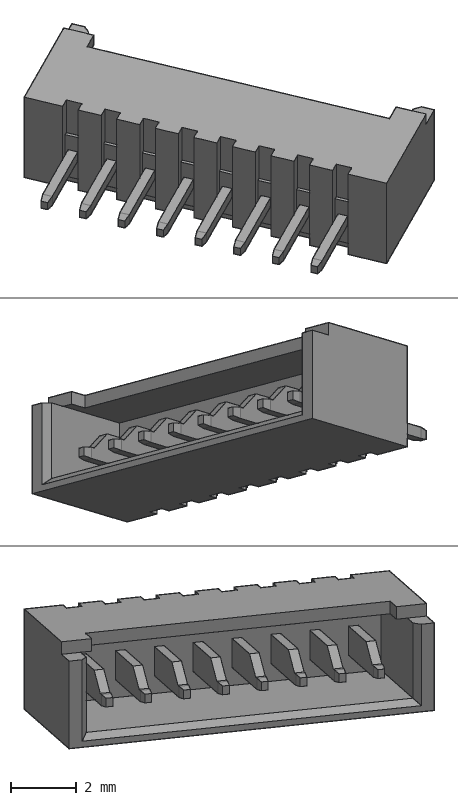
import cadquery as cq

PIN_COUNT = 8
PITCH = 1.25
HOUSING_LENGTH = 11.75
HOUSING_DEPTH = 4.2
HOUSING_HEIGHT = 3.2

WALL = 0.4
END_WALL = 0.62
BACK_WALL = 1.0
MOUTH_CHAMFER = 0.2

STEP_DEPTH = 0.72
NOTCH_DEPTH = 1.3
NOTCH_LENGTH = 9.8

GROOVE_WIDTH = 0.5
GROOVE_DEPTH = 0.32
PAD_RAISE = 0.1
PAD_BOTTOM = 0.25
PAD_TOP = 1.9

PIN_WIDTH = 0.31
PIN_HEIGHT = 0.36
PIN_AXIS_Z = 1.15
TAIL_LENGTH = 2.3
PIN_RECESS = 0.6
TIP_LENGTH = 0.28
TIP_WIDTH = 0.22
TIP_HEIGHT = 0.28
SHOULDER_RECESS = 1.0

PIN_TOP = PIN_AXIS_Z + PIN_HEIGHT / 2
CAVITY_LENGTH = HOUSING_LENGTH - 2 * END_WALL
CAVITY_TOP = HOUSING_HEIGHT - WALL
PIN_XS = [(i - (PIN_COUNT - 1) / 2) * PITCH for i in range(PIN_COUNT)]


def block(length, y_range, z_range, x_center=0.0):
    """Box centred on x_center that fills the given Y and Z ranges."""
    y_min, y_max = y_range
    z_min, z_max = z_range
    box = cq.Workplane("XY").box(length, y_max - y_min, z_max - z_min, centered=(True, False, False))
    return box.translate((x_center, y_min, z_min))


def mouth_flare():
    """Tapered cutter that chamfers the floor and end walls of the cavity at the mouth."""
    height = CAVITY_TOP - WALL
    return (
        cq.Workplane("XZ", origin=(0, HOUSING_DEPTH, (CAVITY_TOP + WALL) / 2))
        .rect(CAVITY_LENGTH + 2 * MOUTH_CHAMFER, height + 2 * MOUTH_CHAMFER)
        .workplane(offset=MOUTH_CHAMFER)
        .rect(CAVITY_LENGTH, height)
        .loft(combine=True)
    )


def make_housing():
    """Shell with an open mating cavity, a stepped and notched upper wall and rear grooves."""
    housing = block(HOUSING_LENGTH, (0, HOUSING_DEPTH), (0, HOUSING_HEIGHT))
    upper_wall = (CAVITY_TOP, HOUSING_HEIGHT)
    housing = housing.cut(block(HOUSING_LENGTH, (HOUSING_DEPTH - STEP_DEPTH, HOUSING_DEPTH), upper_wall))
    housing = housing.cut(block(NOTCH_LENGTH, (HOUSING_DEPTH - NOTCH_DEPTH, HOUSING_DEPTH), upper_wall))
    housing = housing.cut(block(CAVITY_LENGTH, (BACK_WALL, HOUSING_DEPTH), (WALL, CAVITY_TOP)))
    housing = housing.cut(mouth_flare())
    for x in PIN_XS:
        housing = housing.cut(block(GROOVE_WIDTH, (0, GROOVE_DEPTH), (0, HOUSING_HEIGHT), x))
        pad = block(GROOVE_WIDTH, (GROOVE_DEPTH - PAD_RAISE, GROOVE_DEPTH), (PAD_BOTTOM, PAD_TOP), x)
        housing = housing.union(pad)
    return housing


def pin_tip(y_base, direction):
    """Tapered tip that starts at y_base and points along +Y (1) or -Y (-1)."""
    return (
        cq.Workplane("XZ", origin=(0, y_base, PIN_AXIS_Z))
        .rect(PIN_WIDTH, PIN_HEIGHT)
        .workplane(offset=-direction * TIP_LENGTH)
        .rect(TIP_WIDTH, TIP_HEIGHT)
        .loft(combine=True)
    )


def pin_shoulder():
    """Raised rear stretch of the pin in the cavity, with a 45 degree ramp towards the mouth."""
    y_front = HOUSING_DEPTH - SHOULDER_RECESS
    rise = PAD_TOP - PIN_TOP
    return (
        cq.Workplane("YZ", origin=(-PIN_WIDTH / 2, 0, 0))
        .moveTo(BACK_WALL, PIN_AXIS_Z)
        .lineTo(y_front, PIN_AXIS_Z)
        .lineTo(y_front, PIN_TOP)
        .lineTo(y_front - rise, PAD_TOP)
        .lineTo(BACK_WALL, PAD_TOP)
        .close()
        .extrude(PIN_WIDTH)
    )


def make_pin():
    """Straight pin through the back wall, tapered at both ends."""
    tail_y = -TAIL_LENGTH + TIP_LENGTH
    mating_y = HOUSING_DEPTH - PIN_RECESS - TIP_LENGTH
    shank = block(PIN_WIDTH, (tail_y, mating_y), (PIN_AXIS_Z - PIN_HEIGHT / 2, PIN_TOP))
    return shank.union(pin_tip(tail_y, -1)).union(pin_tip(mating_y, 1)).union(pin_shoulder())


result = make_housing()
pin = make_pin()
for x in PIN_XS:
    result = result.union(pin.translate((x, 0, 0)))